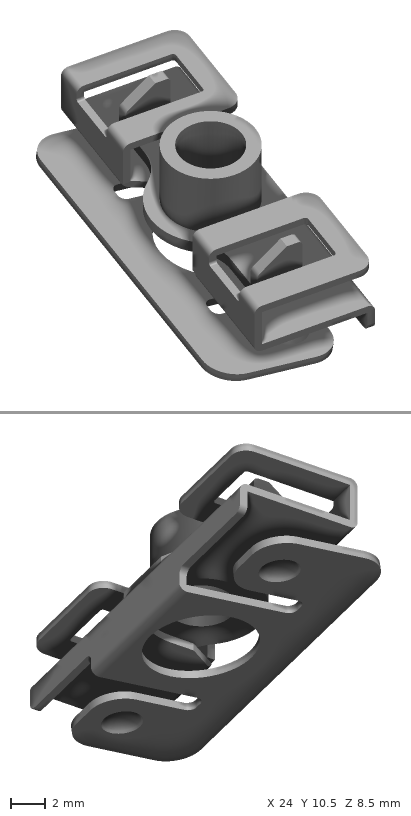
import cadquery as cq
import math


LENGTH = 24.0
SHEET = 0.5
BACK_Y = 4.5
WALL_Y = -3.53
LEAF_FRONT_Y = -6.0
ARM_TOP_Z = 3.02
LEAF_BEND_Z = -3.0
LEAF_TILT = math.radians(8.0)

ARM_INNER_X = 4.3
ARM_CORNER_R = 1.0
WINDOW_WIDTH = 3.75
WINDOW_X = 8.2
WINDOW_BACK_Y = 3.0
WINDOW_SILL_Z = 2.02
WINDOW_CORNER_R = 0.2

CLEARANCE_R = 3.5
FLARE_START_Y = -1.6
FLARE_END_X = 4.68
TONGUE_HALF_WIDTH = 5.05
SLOT_OUTER_X = 6.48
SLOT_FRONT_Y = -3.3
SLOT_CORNER_R = 0.5
SKIRT_BOTTOM_Z = -2.0
SKIRT_CORNER_R = 0.5
LEAF_CORNER_R = 2.0
LEAF_SIDE_BACK_Y = 2.5

DIMPLE_X = 9.0
DIMPLE_BASE_R = 1.5
DIMPLE_HEIGHT = 0.65

NUT_SHEET = 0.8
BOSS_R = 3.0
BORE_R = 2.1
BOSS_TOP_Z = 5.0
FLANGE_R = 3.98
FLANGE_FILLET_R = 3.0
NUT_BACK_HALF_WIDTH = 2.1
TAB_OUTER_X = 8.57
TAB_HALF_WIDTH = 1.5
TAB_TOP_Z = 3.53
TAB_FRONT_Z = 2.0
TAB_SLOPE_Y = 0.48
TAB_BACK_R = 0.3
TAB_FRONT_R = 0.5

HALF_LENGTH = LENGTH / 2
INNER_BACK_Y = BACK_Y - SHEET
INNER_WALL_Y = WALL_Y + SHEET
ARM_UNDER_Z = ARM_TOP_Z - SHEET
SIDES = (-1, 1)
CLEAR = 1.2

LEAF_BACK_Y = INNER_BACK_Y - SHEET * math.sin(LEAF_TILT)
LEAF_BACK_Z = LEAF_BEND_Z - SHEET * math.cos(LEAF_TILT)
LEAF_FRONT_Z = LEAF_BACK_Z + (LEAF_BACK_Y - LEAF_FRONT_Y) * math.tan(LEAF_TILT)
LEAF_PLANE = cq.Plane(
    origin=(0, LEAF_FRONT_Y, LEAF_FRONT_Z),
    xDir=(1, 0, 0),
    normal=(0, math.sin(LEAF_TILT), math.cos(LEAF_TILT)),
)


def along_leaf(y):
    """Local leaf coordinate of a point on its lower face at the given Y."""
    return (y - LEAF_FRONT_Y) / math.cos(LEAF_TILT)


def block(x_range, y_range, z_range):
    """Axis-aligned box between two limits on each axis."""
    limits = (x_range, y_range, z_range)
    sizes = [high - low for low, high in limits]
    corner = tuple(low for low, high in limits)
    return cq.Workplane("XY").box(*sizes, centered=False).translate(corner)


def around_bend(centre, angle, radius=SHEET):
    """Point on the outside of a bend, at an angle in degrees from the first axis."""
    turn = math.radians(angle)
    return (centre[0] + radius * math.cos(turn), centre[1] + radius * math.sin(turn))


def bent_strip():
    """Sheet bent over arm, front wall, middle plate and back wall, across the full length.

    Every bend is sharp inside, so each inner corner is the centre of its outer arc.
    """
    arm_bend = (INNER_WALL_Y, ARM_UNDER_Z)
    plate_bend = (INNER_WALL_Y, 0.0)
    back_bend = (INNER_BACK_Y, -SHEET)
    leaf_bend = (INNER_BACK_Y, LEAF_BEND_Z)
    leaf_angle = -90 - math.degrees(LEAF_TILT)
    profile = (
        cq.Workplane("YZ")
        .moveTo(BACK_Y, ARM_TOP_Z)
        .lineTo(INNER_WALL_Y, ARM_TOP_Z)
        .threePointArc(around_bend(arm_bend, 135), around_bend(arm_bend, 180))
        .lineTo(*around_bend(plate_bend, 180))
        .threePointArc(around_bend(plate_bend, 225), around_bend(plate_bend, 270))
        .lineTo(*back_bend)
        .lineTo(*leaf_bend)
        .lineTo(*around_bend(leaf_bend, leaf_angle))
        .threePointArc(around_bend(leaf_bend, leaf_angle / 2), around_bend(leaf_bend, 0))
        .lineTo(*around_bend(back_bend, 0))
        .threePointArc(around_bend(back_bend, 45), around_bend(back_bend, 90))
        .lineTo(*plate_bend)
        .lineTo(*arm_bend)
        .lineTo(BACK_Y, ARM_UNDER_Z)
        .close()
    )
    return profile.extrude(HALF_LENGTH, both=True)


def arm_gap():
    """Space that parts the bent strip above the middle plate into two arms."""
    return block((-ARM_INNER_X, ARM_INNER_X), (WALL_Y - CLEAR, BACK_Y + CLEAR), (0, ARM_TOP_Z + CLEAR))


def round_arm_corners(strip):
    """Round the back corners of both arms."""
    corners = cq.selectors.BoxSelector(
        (-HALF_LENGTH - CLEAR, BACK_Y - SHEET, ARM_UNDER_Z - SHEET),
        (HALF_LENGTH + CLEAR, BACK_Y + SHEET, ARM_TOP_Z + SHEET),
    )
    return strip.edges("|Z").edges(corners).fillet(ARM_CORNER_R)


def arm_window(side):
    """Window through an arm that runs over the bend into the front wall."""
    middle = side * WINDOW_X
    window = block(
        (middle - WINDOW_WIDTH / 2, middle + WINDOW_WIDTH / 2),
        (WALL_Y - CLEAR, WINDOW_BACK_Y),
        (WINDOW_SILL_Z, ARM_TOP_Z + CLEAR),
    )
    back_corners = window.faces(">Y").edges("|Z")
    return back_corners.fillet(WINDOW_CORNER_R).edges("<Z and |Y").fillet(WINDOW_CORNER_R)


def plate_opening():
    """Round opening of the middle plate, open to the front with flared sides."""
    return (
        cq.Workplane("XY")
        .workplane(offset=-SHEET)
        .moveTo(-CLEARANCE_R, 0)
        .threePointArc((0, CLEARANCE_R), (CLEARANCE_R, 0))
        .lineTo(CLEARANCE_R, FLARE_START_Y)
        .lineTo(FLARE_END_X, WALL_Y)
        .lineTo(-FLARE_END_X, WALL_Y)
        .lineTo(-CLEARANCE_R, FLARE_START_Y)
        .close()
        .extrude(SHEET)
    )


def back_wall_cutout(side):
    """Part of the back wall and leaf bend removed beside the tongue."""
    near, far = sorted((side * TONGUE_HALF_WIDTH, side * (HALF_LENGTH + CLEAR)))
    return block(
        (near, far), (INNER_BACK_Y - CLEAR, BACK_Y + CLEAR), (LEAF_BEND_Z - CLEAR, SKIRT_BOTTOM_Z)
    )


def round_skirt_corners(strip):
    """Round the back wall's lower outer corners and the corners where it meets the tongue."""
    corners = cq.selectors.BoxSelector(
        (-HALF_LENGTH - CLEAR, INNER_BACK_Y - SHEET, SKIRT_BOTTOM_Z - SHEET),
        (HALF_LENGTH + CLEAR, BACK_Y + SHEET, SKIRT_BOTTOM_Z + SHEET),
    )
    return strip.edges("|Y").edges(corners).fillet(SKIRT_CORNER_R)


def leaf_flap():
    """Side flap of the leaf at +X, in the leaf's own flat frame."""
    flap = block((SLOT_OUTER_X, HALF_LENGTH), (0, along_leaf(LEAF_SIDE_BACK_Y)), (0, SHEET))
    return flap.edges("|Z and (>X or >Y)").fillet(LEAF_CORNER_R)


def dimple_spheres():
    """Outer and inner sphere of a dimple pressed up from the leaf, and their centre height.

    The spheres share a centre and keep the sheet thickness between them.
    """
    outer_r = (DIMPLE_BASE_R**2 + DIMPLE_HEIGHT**2) / (2 * DIMPLE_HEIGHT)
    centre_z = SHEET + DIMPLE_HEIGHT - outer_r
    return outer_r, outer_r - SHEET, centre_z


def add_dimple(flat_leaf, side):
    """Press one dimple into the flat leaf."""
    outer_r, inner_r, centre_z = dimple_spheres()
    x, y = side * DIMPLE_X, along_leaf(0)
    above_leaf = block((x - outer_r, x + outer_r), (y - outer_r, y + outer_r), (SHEET, SHEET + outer_r))
    cap = cq.Workplane("XY").sphere(outer_r).translate((x, y, centre_z)).intersect(above_leaf)
    hollow = cq.Workplane("XY").sphere(inner_r).translate((x, y, centre_z))
    return flat_leaf.union(cap).cut(hollow)


def leaf():
    """Sloping leaf: two flaps and a slotted centre whose tongue runs back to the bend."""
    slot_front = along_leaf(SLOT_FRONT_Y)
    flat = block((-SLOT_OUTER_X, SLOT_OUTER_X), (0, slot_front), (0, SHEET))
    flat = flat.union(
        block((-TONGUE_HALF_WIDTH, TONGUE_HALF_WIDTH), (0, along_leaf(LEAF_BACK_Y)), (0, SHEET))
    )
    flat = flat.union(leaf_flap()).union(leaf_flap().mirror("YZ"))
    slot_corners = cq.selectors.BoxSelector(
        (-SLOT_OUTER_X - SHEET, slot_front - SHEET, 0),
        (SLOT_OUTER_X + SHEET, slot_front + SHEET, SHEET),
    )
    flat = flat.edges("|Z").edges(slot_corners).fillet(SLOT_CORNER_R)
    opening = cq.Workplane("XY").center(0, along_leaf(0)).circle(CLEARANCE_R).extrude(SHEET)
    flat = flat.cut(opening)
    for side in SIDES:
        flat = add_dimple(flat, side)
    return cq.Workplane(flat.val().moved(LEAF_PLANE.location))


def make_clip():
    """Spring clip bent from one sheet."""
    strip = round_arm_corners(bent_strip().cut(arm_gap()))
    for side in SIDES:
        strip = strip.cut(arm_window(side)).cut(back_wall_cutout(side))
    strip = round_skirt_corners(strip).cut(plate_opening())
    return strip.union(leaf())


def nut_flange():
    """Flat plate under the boss: round at the front, with wings tapering to the tabs."""
    fillet_y = -TAB_HALF_WIDTH - FLANGE_FILLET_R
    centres_apart = FLANGE_R + FLANGE_FILLET_R
    fillet_x = math.sqrt(centres_apart**2 - fillet_y**2)
    tangent_x = fillet_x * FLANGE_R / centres_apart
    tangent_y = fillet_y * FLANGE_R / centres_apart
    mid_turn = (math.pi / 2 + math.atan2(-fillet_y, -fillet_x)) / 2
    mid_x = fillet_x + FLANGE_FILLET_R * math.cos(mid_turn)
    mid_y = fillet_y + FLANGE_FILLET_R * math.sin(mid_turn)
    wing_x = TAB_OUTER_X - NUT_SHEET
    return (
        cq.Workplane("XY")
        .moveTo(-NUT_BACK_HALF_WIDTH, INNER_BACK_Y)
        .lineTo(-wing_x, TAB_HALF_WIDTH)
        .lineTo(-wing_x, -TAB_HALF_WIDTH)
        .lineTo(-fillet_x, -TAB_HALF_WIDTH)
        .threePointArc((-mid_x, mid_y), (-tangent_x, tangent_y))
        .threePointArc((0, -FLANGE_R), (tangent_x, tangent_y))
        .threePointArc((mid_x, mid_y), (fillet_x, -TAB_HALF_WIDTH))
        .lineTo(wing_x, -TAB_HALF_WIDTH)
        .lineTo(wing_x, TAB_HALF_WIDTH)
        .lineTo(NUT_BACK_HALF_WIDTH, INNER_BACK_Y)
        .close()
        .extrude(NUT_SHEET)
    )


def nut_tab():
    """Upright tab at the +X wing, with a sloped top, above a bend rounded outside."""
    inner_x = TAB_OUTER_X - NUT_SHEET
    tab = (
        cq.Workplane("YZ")
        .workplane(offset=inner_x)
        .moveTo(-TAB_HALF_WIDTH, NUT_SHEET)
        .lineTo(-TAB_HALF_WIDTH, TAB_FRONT_Z)
        .lineTo(TAB_SLOPE_Y, TAB_TOP_Z)
        .lineTo(TAB_HALF_WIDTH, TAB_TOP_Z)
        .lineTo(TAB_HALF_WIDTH, NUT_SHEET)
        .close()
        .extrude(NUT_SHEET)
    )
    front_top = cq.selectors.NearestToPointSelector((TAB_OUTER_X, -TAB_HALF_WIDTH, TAB_FRONT_Z))
    tab = tab.edges("|X").edges(">Y and >Z").fillet(TAB_BACK_R)
    tab = tab.edges("|X").edges(front_top).fillet(TAB_FRONT_R)
    bend_centre = (inner_x, NUT_SHEET)
    bend = (
        cq.Workplane("XZ")
        .moveTo(*bend_centre)
        .lineTo(*around_bend(bend_centre, -90, NUT_SHEET))
        .threePointArc(
            around_bend(bend_centre, -45, NUT_SHEET), around_bend(bend_centre, 0, NUT_SHEET)
        )
        .close()
        .extrude(TAB_HALF_WIDTH, both=True)
    )
    return tab.union(bend)


def make_nut():
    """Nut plate: flange, bored boss and two upright tabs."""
    boss = cq.Workplane("XY").circle(BOSS_R).extrude(BOSS_TOP_Z)
    bore = cq.Workplane("XY").circle(BORE_R).extrude(BOSS_TOP_Z)
    return nut_flange().union(boss).union(nut_tab()).union(nut_tab().mirror("YZ")).cut(bore)


clip = make_clip()
nut = make_nut()

result = cq.Compound.makeCompound([clip.val(), nut.val()])